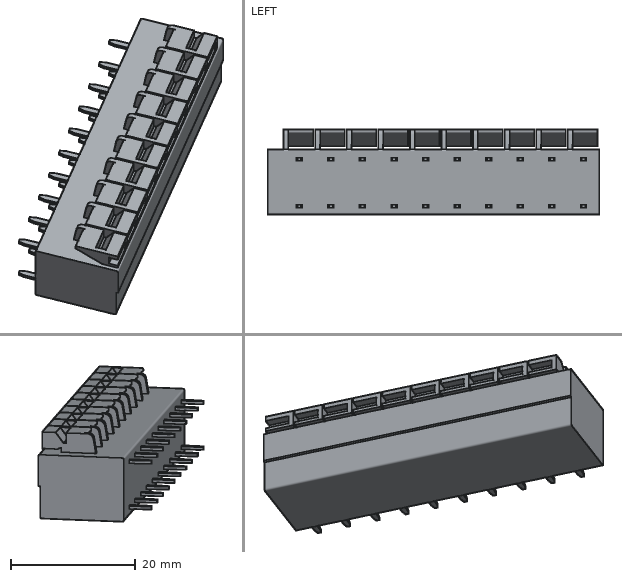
import cadquery as cq
import math


poles = 10
row_length = 53.35
pitch = row_length / (poles + 0.5)

body_depth = 14.05
body_height = 10.5
body_edge_radius = 0.3
step_depth = 0.3
step_height = 5.25
step_slope = 0.15

pin_length = 3.6
pin_width = 0.95
pin_thickness = 0.5
pin_tip_width = 0.55
pin_taper = 1.0
pin_rows = (1.4, 8.9)

lever_width = 4.8
lever_top = 13.7
lever_bottom = 11.0
lever_end = 13.85
lever_tip_center = 7.0
lever_tip_radius = 0.3
lever_angle = math.radians(25.5)

arm_thickness = 0.8
arm_start = 5.05
arm_end = 10.7
arm_corner = 5.6
arm_round = 0.95

pocket_start = 9.9
pocket_floor = 0.45
pocket_end = 11.65
pocket_depth = 1.7
pocket_length = 4.0

groove_depth = 1.5
groove_bottom = 11.5
groove_top = 12.9


def extrude_along_y(profile, start, length):
    """Extrude an XZ profile towards +Y from the given Y position."""
    return profile.extrude(-length).translate((0, start, 0))


def make_body():
    lower_depth = body_depth - step_depth
    profile = (
        cq.Workplane("XZ")
        .polyline([
            (0, 0),
            (lower_depth, 0),
            (lower_depth, step_height),
            (body_depth, step_height + step_slope),
            (body_depth, body_height),
            (0, body_height),
        ])
        .close()
    )
    body = extrude_along_y(profile, 0, row_length)
    return body.edges("|Y and (>Z or <Z)").fillet(body_edge_radius)


def make_pin(y, z):
    half_width = pin_width / 2
    half_tip = pin_tip_width / 2
    shoulder = pin_taper - pin_length
    return (
        cq.Workplane("XY")
        .polyline([
            (body_edge_radius, -half_width),
            (shoulder, -half_width),
            (-pin_length, -half_tip),
            (-pin_length, half_tip),
            (shoulder, half_width),
            (body_edge_radius, half_width),
        ])
        .close()
        .extrude(pin_thickness)
        .translate((0, y, z - pin_thickness / 2))
    )


def make_key(start):
    """Wedge with a rounded tip and a sloping underside."""
    tip_z = lever_top - lever_tip_radius
    slope_x = lever_tip_center - lever_tip_radius * math.sin(lever_angle)
    slope_z = tip_z - lever_tip_radius * math.cos(lever_angle)
    slope_end = slope_x + (slope_z - lever_bottom) / math.tan(lever_angle)
    profile = (
        cq.Workplane("XZ")
        .moveTo(lever_tip_center, lever_top)
        .threePointArc((lever_tip_center - lever_tip_radius, tip_z), (slope_x, slope_z))
        .lineTo(slope_end, lever_bottom)
        .lineTo(lever_end, lever_bottom)
        .lineTo(lever_end, lever_top)
        .close()
    )
    return extrude_along_y(profile, start, lever_width)


def make_arm(start):
    """Upright plate, rounded at its upper pin-side corner and sunk into the housing."""
    profile = (
        cq.Workplane("XZ")
        .moveTo(arm_start, body_height - body_edge_radius)
        .lineTo(arm_start, body_height)
        .lineTo(arm_corner, lever_top)
        .lineTo(arm_end, lever_top)
        .lineTo(arm_end, body_height - body_edge_radius)
        .close()
    )
    arm = extrude_along_y(profile, start + lever_width - arm_thickness, arm_thickness)
    upper_corner = cq.selectors.NearestToPointSelector((arm_corner, start + lever_width, lever_top))
    return arm.edges("|Y").edges(upper_corner).fillet(arm_round)


def make_pocket(start):
    """Sloping pocket, open at the top and at the +Y side of the lever."""
    floor_z = lever_top - pocket_depth
    profile = (
        cq.Workplane("XZ")
        .polyline([
            (pocket_start, lever_top),
            (pocket_start, floor_z),
            (pocket_start + pocket_floor, floor_z),
            (pocket_end, lever_top),
        ])
        .close()
    )
    return extrude_along_y(profile, start + lever_width - pocket_length, pocket_length)


def make_groove(start):
    """Groove open at the -Y side, closed by a wall as thick as the arm."""
    return cq.Workplane("XY").box(
        groove_depth,
        lever_width - arm_thickness,
        groove_top - groove_bottom,
        centered=False,
    ).translate((lever_end - groove_depth, start, groove_bottom))


def make_lever(start):
    lever = make_key(start).union(make_arm(start))
    return lever.cut(make_pocket(start)).cut(make_groove(start))


result = make_body()
for pole in range(poles):
    cell_start = pole * pitch
    result = result.union(make_lever(cell_start + pitch - lever_width))
    for pin_z in pin_rows:
        result = result.union(make_pin(cell_start + pitch / 2, pin_z))